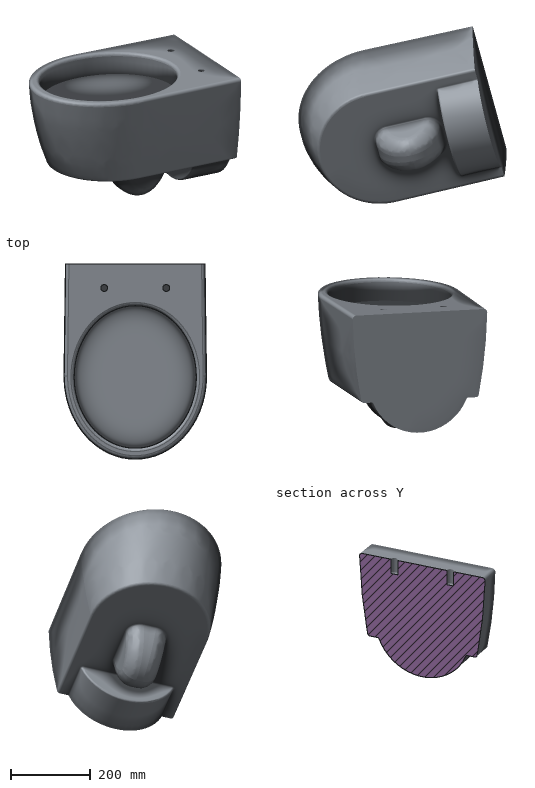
import cadquery as cq

body_height = 224.5
rim_round = 9.0
base_round = 8.0

bend_y = -282.0
body_sections = [
    (0, 175.5, 179.5, 491.0),
    (114.5, 168.5, 170.5, 476.0),
    (body_height, 152.0, 153.0, 440.0),
]

bowl_center_y = -284.0
bowl_half_width = 153.5
bowl_half_length = 179.0
bowl_depth = 56.5
bowl_lip_round = 8.5

hole_diameter = 17.0
hole_spacing = 156.0
hole_y = -60.5
hole_depth = 39.0

root_z = -196.0

envelope = 981.0

connector_radius = 132.0
connector_bottom_z = -308.0
connector_length = 105.0
connector_round = 5.0

trap_back_reach = 83.5
trap_front_reach = 93.0
trap_bottom_y = -200.0
trap_bottom_z = -331.5
trap_half_width = 55.5
trap_bottom_half_width = 41.0
trap_round = 37.0
trap_height = root_z - trap_bottom_z

joint_round = 4.0


def body_outline(depth, wall_half_width, bend_half_width, length):
    """Closed wire: near-straight sides ending in a half ellipse at the front."""
    front_radius = length + bend_y
    return (
        cq.Workplane("XY", origin=(0, 0, -depth))
        .moveTo(wall_half_width, 0)
        .lineTo(-wall_half_width, 0)
        .spline([(-bend_half_width, bend_y)], tangents=[(0, -1), (0, -1)], includeCurrent=True)
        .ellipseArc(bend_half_width, front_radius, 180, 360, startAtCurrent=True)
        .spline([(wall_half_width, 0)], tangents=[(0, 1), (0, 1)], includeCurrent=True)
        .close()
        .wire()
        .val()
    )


def make_body():
    outlines = [body_outline(*section) for section in body_sections]
    body = cq.Workplane(cq.Solid.makeLoft(outlines))
    for face, radius in ((">Z", rim_round), ("<Z", base_round)):
        body = body.faces(face).edges("not(>Y)").fillet(radius)
    return body


def make_connector():
    below_root = cq.Workplane("XY", origin=(0, 0, root_z)).rect(envelope, envelope).extrude(-envelope)
    return (
        cq.Workplane("XZ")
        .center(0, connector_bottom_z + connector_radius)
        .circle(connector_radius)
        .extrude(connector_length)
        .faces("<Y")
        .edges()
        .fillet(connector_round)
        .intersect(below_root)
    )


def make_trap():
    profile = (
        cq.Workplane("YZ")
        .center(trap_bottom_y, root_z)
        .moveTo(-trap_front_reach, 0)
        .ellipseArc(trap_front_reach, trap_height, 180, 270, startAtCurrent=True)
        .ellipseArc(trap_back_reach, trap_height, 270, 360, startAtCurrent=True)
        .close()
        .extrude(envelope / 2, both=True)
    )
    leaning_sides = (
        cq.Workplane("XZ")
        .polyline([
            (-trap_half_width, root_z),
            (trap_half_width, root_z),
            (trap_bottom_half_width, trap_bottom_z),
            (-trap_bottom_half_width, trap_bottom_z),
        ])
        .close()
        .extrude(envelope)
    )
    trap = profile.intersect(leaning_sides)
    return trap.faces("<X or >X").edges("not(|Y)").fillet(trap_round)


def make_bowl():
    return (
        cq.Workplane("XY")
        .center(0, bowl_center_y)
        .ellipse(bowl_half_width, bowl_half_length)
        .extrude(-bowl_depth)
    )


def make_holes():
    return (
        cq.Workplane("XY")
        .pushPoints([(-hole_spacing / 2, hole_y), (hole_spacing / 2, hole_y)])
        .circle(hole_diameter / 2)
        .extrude(-hole_depth)
    )


def box_around(center_y, half_width, half_length, z):
    """Select edges lying flat at height z inside the given rectangle."""
    margin = 0.5
    return cq.selectors.BoxSelector(
        (-half_width - margin, center_y - half_length - margin, z - margin),
        (half_width + margin, center_y + half_length + margin, z + margin),
        boundingbox=True,
    )


lip_edge = box_around(bowl_center_y, bowl_half_width, bowl_half_length, 0)
result = make_body().cut(make_bowl()).edges(lip_edge).fillet(bowl_lip_round)
result = result.cut(make_holes()).union(make_connector()).union(make_trap())

joint_reach = trap_front_reach - trap_bottom_y
under_joints = box_around(-joint_reach / 2, connector_radius, joint_reach / 2, -body_height)
result = result.edges(under_joints).fillet(joint_round)

behind_wall = cq.Workplane("XZ").rect(envelope, envelope).extrude(-envelope)
result = result.cut(behind_wall)